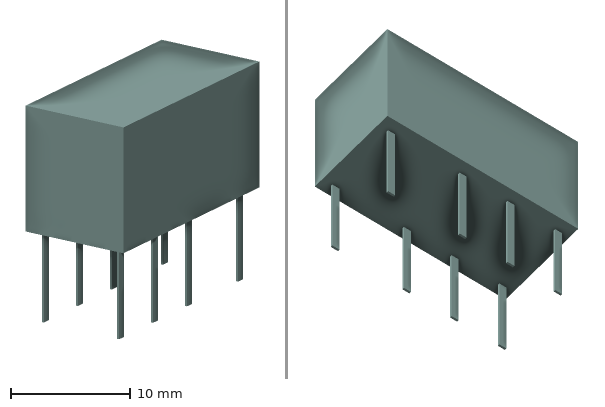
import cadquery as cq

housing_width = 9.92
housing_length = 20.32
total_height = 19.3
housing_height = 11.2

pin_gap = 0.25
pin_thickness = 0.2
pin_width = 0.75
pin_length = total_height - housing_height - pin_gap

row_spacing = 7.62
pin_pitch = 2.55
pin_steps = (0, 2, 4, 7)
first_pin_y = -pin_pitch * pin_steps[-1] / 2


def make_housing():
    """Plain block standing on the Z = 0 plane."""
    return cq.Workplane("XY").box(
        housing_width, housing_length, housing_height, centered=(True, True, False)
    )


def make_pin(x, y):
    """One flat pin centred on (x, y), reaching down from the gap to its tip."""
    return (
        cq.Workplane("XY")
        .box(pin_thickness, pin_width, pin_length, centered=(True, True, False))
        .translate((x, y, -pin_gap - pin_length))
    )


housing = make_housing()

pins = []
for row_x in (-row_spacing / 2, row_spacing / 2):
    for step in pin_steps:
        pin = make_pin(row_x, first_pin_y + step * pin_pitch)
        pins.append(pin.val())

result = cq.Compound.makeCompound([housing.val(), *pins])